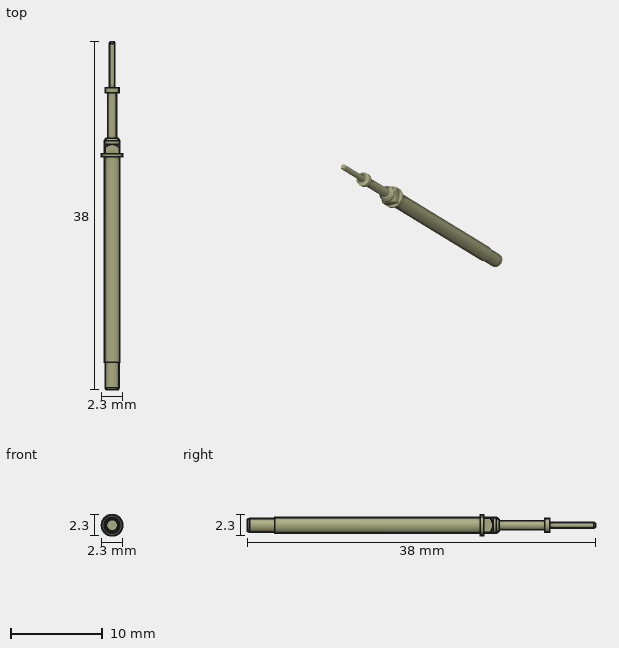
import cadquery as cq


total_length = 38.0
tail_length = 3.0
body_length = 22.42
flange_thickness = 0.35
square_length = 1.03
neck_length = 0.38
nose_cone_length = 0.3
pin_length = 5.0
collar_thickness = 0.57

tail_diameter = 1.52
body_diameter = 1.7
flange_diameter = 2.3
square_corner_diameter = 2.28
square_width = 1.7
neck_diameter = square_width
nose_diameter = 1.25
shaft_diameter = 1.0
collar_diameter = 1.52
pin_diameter = 0.6

tail_chamfer_length = 0.23
tail_chamfer_depth = 0.133
tip_chamfer_length = 0.23
tip_chamfer_depth = 0.1

flange_start = tail_length + body_length
flange_end = flange_start + flange_thickness
square_end = flange_end + square_length
neck_end = square_end + neck_length
nose_end = neck_end + nose_cone_length
collar_end = total_length - pin_length
collar_start = collar_end - collar_thickness


def rod(diameter, start, end):
    """Cylinder on the Y axis between two stations."""
    return cone(diameter, diameter, start, end)


def cone(start_diameter, end_diameter, start, end):
    """Solid frustum on the Y axis between two stations."""
    return (
        cq.Workplane("XY")
        .moveTo(0, start)
        .lineTo(start_diameter / 2, start)
        .lineTo(end_diameter / 2, end)
        .lineTo(0, end)
        .close()
        .revolve(360, (0, 0, 0), (0, 1, 0))
    )


def receptacle():
    """Tail with a chamfered end, long body and thin stop flange."""
    tail_end_diameter = tail_diameter - 2 * tail_chamfer_depth
    return (
        cone(tail_end_diameter, tail_diameter, 0, tail_chamfer_length)
        .union(rod(tail_diameter, tail_chamfer_length, tail_length))
        .union(rod(body_diameter, tail_length, flange_start))
        .union(rod(flange_diameter, flange_start, flange_end))
    )


def square_head():
    """Square with turned corners that run out through a 45 degree cone into the neck and nose."""
    runout_length = (square_corner_diameter - neck_diameter) / 2
    runout_start = square_end - runout_length
    flats = (
        cq.Workplane("XY")
        .box(square_width, square_end - flange_end, square_width)
        .translate((0, (flange_end + square_end) / 2, 0))
    )
    turned_blank = rod(square_corner_diameter, flange_end, runout_start).union(
        cone(square_corner_diameter, neck_diameter, runout_start, square_end)
    )
    return (
        turned_blank.intersect(flats)
        .union(rod(neck_diameter, square_end, neck_end))
        .union(cone(neck_diameter, nose_diameter, neck_end, nose_end))
    )


def plunger():
    """Shaft, collar and thin contact pin with a chamfered tip."""
    tip_start = total_length - tip_chamfer_length
    tip_diameter = pin_diameter - 2 * tip_chamfer_depth
    return (
        rod(shaft_diameter, nose_end, collar_start)
        .union(rod(collar_diameter, collar_start, collar_end))
        .union(rod(pin_diameter, collar_end, tip_start))
        .union(cone(pin_diameter, tip_diameter, tip_start, total_length))
    )


result = receptacle().union(square_head()).union(plunger())